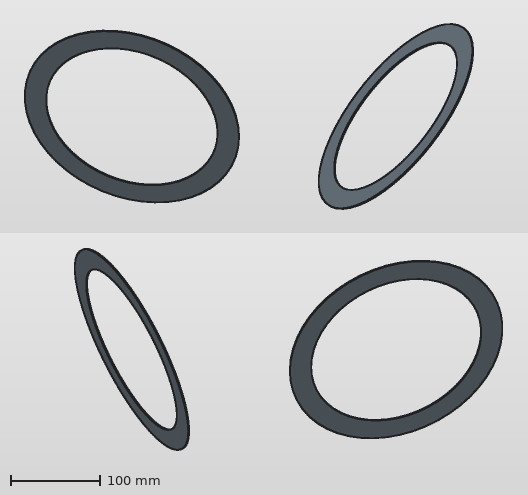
import cadquery as cq

outer_diameter = 250.0
inner_diameter = 200.0
thickness = 1.6

result = (
    cq.Workplane("XZ")
    .circle(outer_diameter / 2)
    .circle(inner_diameter / 2)
    .extrude(thickness / 2, both=True)
)